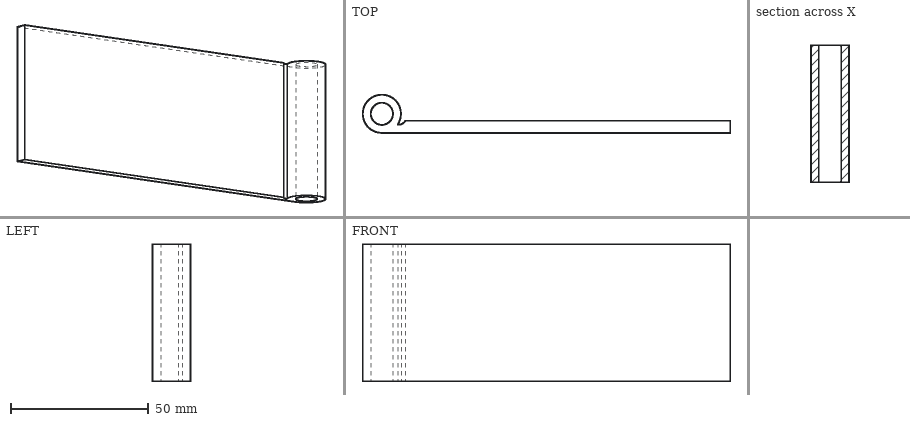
import cadquery as cq
import math

total_length = 134.0
leaf_height = 50.0
knuckle_radius = 7.0
pin_hole_diameter = 8.0
leaf_thickness = 4.5

relief_depth = 1.4
relief_edge_x = 8.5
relief_sag = 0.5

leaf_outer_y = -knuckle_radius
leaf_inner_y = leaf_outer_y + leaf_thickness
leaf_end_x = total_length - knuckle_radius

relief_bottom_y = leaf_inner_y - relief_depth
relief_bottom_x = math.sqrt(knuckle_radius**2 - relief_bottom_y**2)


def knuckle_point(angle):
    """Point on the knuckle surface at an angle in degrees from +X."""
    return (
        knuckle_radius * math.cos(math.radians(angle)),
        knuckle_radius * math.sin(math.radians(angle)),
    )


def make_hinge_body():
    """Solid knuckle with the flat leaf running off it tangentially."""
    return (
        cq.Workplane("XY")
        .moveTo(0, leaf_outer_y)
        .lineTo(leaf_end_x, leaf_outer_y)
        .lineTo(leaf_end_x, leaf_inner_y)
        .lineTo(relief_edge_x, leaf_inner_y)
        .sagittaArc((relief_bottom_x, relief_bottom_y), relief_sag)
        .threePointArc(knuckle_point(90), knuckle_point(180))
        .threePointArc(knuckle_point(225), (0, leaf_outer_y))
        .close()
        .extrude(leaf_height)
    )


def make_pin_hole():
    """Cutter for the pin hole through the full height of the knuckle."""
    return cq.Workplane("XY").circle(pin_hole_diameter / 2).extrude(leaf_height)


result = make_hinge_body().cut(make_pin_hole())